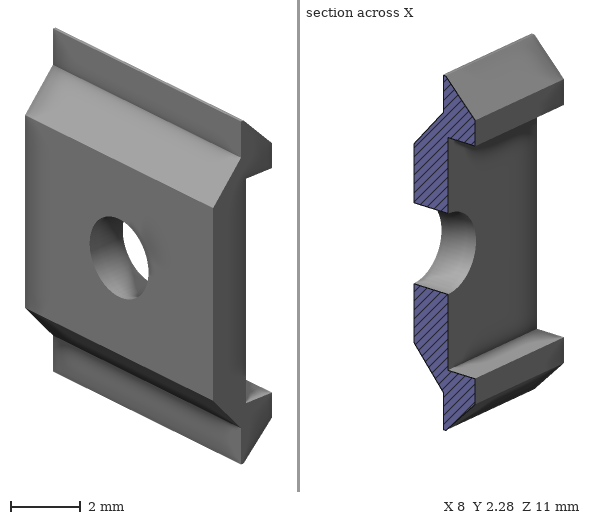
import cadquery as cq

length = 8.0
thickness = 2.28
height = 11.0

face_height = 6.18
shoulder_height = 8.68
shoulder_depth = 1.08
tip_width = 0.1
recess_height = 7.2
recess_depth = 1.0
hole_diameter = 2.5

chamfer = thickness - shoulder_depth - tip_width


def make_body():
    """Extrude the hooked profile along X, centred on the origin."""
    front = -thickness / 2
    back = thickness / 2
    lip = front + shoulder_depth
    recess_floor = back - recess_depth
    top = height / 2

    upper_half = [
        (front, face_height / 2),
        (lip, shoulder_height / 2),
        (lip, top),
        (lip + tip_width, top),
        (back, top - chamfer),
        (back, recess_height / 2),
        (recess_floor, recess_height / 2),
    ]
    lower_half = [(y, -z) for y, z in reversed(upper_half)]
    end_plane = cq.Workplane("YZ").workplane(offset=-length / 2)
    return end_plane.polyline(upper_half + lower_half).close().extrude(length)


def make_hole():
    """Round through hole along Y in the middle of the plate."""
    back_plane = cq.Workplane("XZ").workplane(offset=-thickness / 2)
    return back_plane.circle(hole_diameter / 2).extrude(thickness)


result = make_body().cut(make_hole())